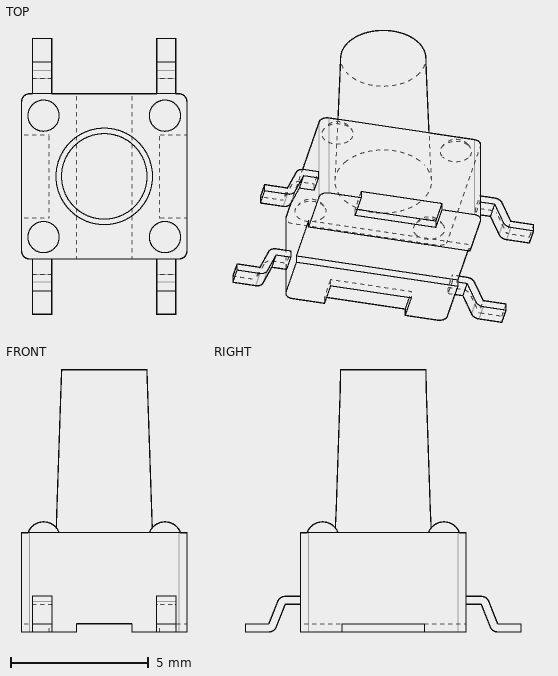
import cadquery as cq
import math

body_side = 6.0
body_height = 3.6
corner_radius = 0.3

channel_height = 0.3
channel_width = 2.0
side_pocket_width = 3.0
side_pocket_depth = 1.0

overall_height = 9.51
button_base_diameter = 3.5
button_top_diameter = 3.1

rivet_offset = 2.2
rivet_radius = 0.6
rivet_height = 0.4

lead_span = 10.0
lead_offset = 2.25
lead_width = 0.7
lead_thickness = 0.3
lead_top = 1.3
shoulder_bend_y = 3.55
foot_bend_y = 4.15


def make_body():
    body = cq.Workplane("XY").box(body_side, body_side, body_height, centered=(True, True, False))
    body = body.edges("|Z").fillet(corner_radius)
    channel = cq.Workplane("XY").box(
        channel_width, body_side, channel_height, centered=(True, True, False)
    )
    body = body.cut(channel)
    pocket = cq.Workplane("XY").box(
        side_pocket_depth, side_pocket_width, channel_height, centered=(True, True, False)
    )
    pocket_x = (body_side - side_pocket_depth) / 2
    for side in (-1, 1):
        body = body.cut(pocket.translate((side * pocket_x, 0, 0)))
    return body


def make_button():
    button_height = overall_height - body_height
    return cq.Workplane(
        cq.Solid.makeCone(button_base_diameter / 2, button_top_diameter / 2, button_height)
    ).translate((0, 0, body_height))


def make_rivet(x, y):
    """Spherical cap, completed by the part of its sphere sunk in the housing."""
    centre_z = body_height + rivet_height - rivet_radius
    return cq.Workplane("XY").sphere(rivet_radius).translate((x, y, centre_z))


def make_lead(x):
    """Lead leaving the +Y face, bent down to a flat foot at Z = 0."""
    tip_y = lead_span / 2
    root_y = body_side / 2 - corner_radius
    shoulder_z = lead_top - lead_thickness

    run = foot_bend_y - shoulder_bend_y
    drop = shoulder_z - lead_thickness
    slope = math.atan2(drop, run) + math.asin(lead_thickness / math.hypot(run, drop))

    def on_outer_bend(angle):
        """Offset from the upper inner corner to its outer bend, angle measured from vertical."""
        return lead_thickness * math.sin(angle), lead_thickness * math.cos(angle)

    mid_y, mid_z = on_outer_bend(slope / 2)
    end_y, end_z = on_outer_bend(slope)
    profile = (
        cq.Workplane("YZ")
        .moveTo(root_y, shoulder_z)
        .lineTo(root_y, lead_top)
        .lineTo(shoulder_bend_y, lead_top)
        .threePointArc(
            (shoulder_bend_y + mid_y, shoulder_z + mid_z),
            (shoulder_bend_y + end_y, shoulder_z + end_z),
        )
        .lineTo(foot_bend_y, lead_thickness)
        .lineTo(tip_y, lead_thickness)
        .lineTo(tip_y, 0)
        .lineTo(foot_bend_y, 0)
        .threePointArc(
            (foot_bend_y - mid_y, lead_thickness - mid_z),
            (foot_bend_y - end_y, lead_thickness - end_z),
        )
        .lineTo(shoulder_bend_y, shoulder_z)
        .close()
    )
    return profile.extrude(lead_width / 2, both=True).translate((x, 0, 0))


result = make_body().union(make_button())
for x_side in (-1, 1):
    lead = make_lead(x_side * lead_offset)
    result = result.union(lead).union(lead.mirror("XZ"))
    for y_side in (-1, 1):
        result = result.union(make_rivet(x_side * rivet_offset, y_side * rivet_offset))